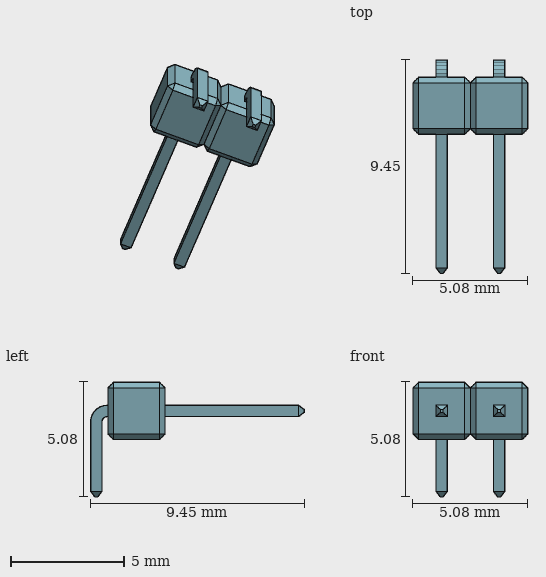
import cadquery as cq
import math

pitch = 2.54
unit_count = 2
total_depth = 9.45
total_height = 2 * pitch

block_size = pitch
block_chamfer = pitch / 10

pin_width = pitch / 5
pin_overhang = 0.762
bend_facets = 6
facet_length = 0.127
first_facet_tilt = 3
facet_turn = 15

tip_length = 0.254
tip_width = 0.127

pin_back = block_size / 2 + pin_overhang
pin_front = pin_back - total_depth
pin_bottom = block_size / 2 - total_height
leg_center = pin_back - pin_width / 2


def make_block():
    """Cube with every edge chamfered."""
    return cq.Workplane("XY").box(block_size, block_size, block_size).edges().chamfer(block_chamfer)


def bend_points():
    """Corners (y, z) of the pin's centre line through the bend, from the shank to the leg."""
    tilts = [math.radians(first_facet_tilt + facet_turn * i) for i in range(bend_facets)]
    y = leg_center - facet_length * sum(math.cos(tilt) for tilt in tilts)
    z = 0
    points = [(y, z)]
    for tilt in tilts:
        y += facet_length * math.cos(tilt)
        z -= facet_length * math.sin(tilt)
        points.append((y, z))
    return points


def make_bent_bar():
    """Square bar running along Y, then bent down along Z with mitred corners, without its tips."""
    shank_end = (pin_front + tip_length, 0)
    leg_end = (leg_center, pin_bottom + tip_length)
    center_line = cq.Workplane("YZ").polyline([shank_end, *bend_points(), leg_end])
    section_plane = cq.Workplane("XZ", origin=(0, shank_end[0], 0))
    return section_plane.rect(pin_width, pin_width).sweep(center_line, transition="right")


def make_tip(base_center, direction):
    """Square tip that narrows from the pin's width to a small flat."""
    base = cq.Plane(origin=base_center, xDir=(1, 0, 0), normal=direction)
    return (
        cq.Workplane(base)
        .rect(pin_width, pin_width)
        .workplane(offset=tip_length)
        .rect(tip_width, tip_width)
        .loft(ruled=True)
    )


def make_header_unit():
    """Block and bent pin joined as one solid."""
    front_tip = make_tip((0, pin_front + tip_length, 0), (0, -1, 0))
    leg_tip = make_tip((0, leg_center, pin_bottom + tip_length), (0, 0, -1))
    return make_block().union(make_bent_bar()).union(front_tip).union(leg_tip)


header_units = [make_header_unit().translate((pitch * i, 0, 0)) for i in range(unit_count)]

result = cq.Compound.makeCompound([unit.solids().val() for unit in header_units])